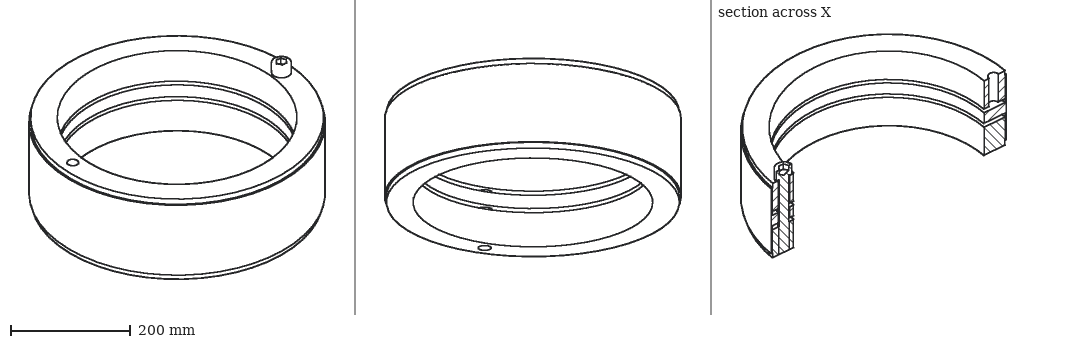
import cadquery as cq
import math

OUTER_DIAMETER = 495.0
END_RING_DIAMETER = 489.0
BORE_DIAMETER = 400.0
STACK_HEIGHT = 161.5
END_RING_PROTRUSION = 10.5
WEB_HEIGHT = 24.0
RING_GAP = 7.5
GAP_EDGE = WEB_HEIGHT / 2 + RING_GAP
END_RING_HEIGHT = STACK_HEIGHT / 2 - GAP_EDGE
SLEEVE_HEIGHT = STACK_HEIGHT - 2 * END_RING_PROTRUSION
MIDDLE_Z = STACK_HEIGHT / 2

HOLE_RADIUS = 220.5
THREAD_DIAMETER = 22.0
CLEARANCE_DIAMETER = 24.0
JACKING_DIAMETER = 19.5
HEAD_DIAMETER = 33.0
HEAD_HEIGHT = THREAD_DIAMETER
HEAD_FILLET = 2.0
SOCKET_ACROSS_FLATS = 17.0
SOCKET_DEPTH = 11.0
SOCKET_TIP_DEPTH = 5.0


def cylinder(diameter, bottom, height, y=0.0):
    """Vertical cylinder centred on the Y axis at the given position."""
    return cq.Workplane("XY", origin=(0, y, bottom)).circle(diameter / 2).extrude(height)


def tube(outer_diameter, inner_diameter, bottom, height):
    return cylinder(outer_diameter, bottom, height).cut(cylinder(inner_diameter, bottom, height))


def make_sleeve():
    """Thin outer sleeve with an inward web at mid-height."""
    shell = tube(OUTER_DIAMETER, END_RING_DIAMETER, END_RING_PROTRUSION, SLEEVE_HEIGHT)
    web_bottom = MIDDLE_Z - WEB_HEIGHT / 2
    web = tube(OUTER_DIAMETER, BORE_DIAMETER, web_bottom, WEB_HEIGHT)
    screw_hole = cylinder(CLEARANCE_DIAMETER, web_bottom, WEB_HEIGHT, HOLE_RADIUS)
    return shell.union(web).cut(screw_hole)


def make_end_ring(bottom, screw_hole_diameter):
    ring = tube(END_RING_DIAMETER, BORE_DIAMETER, bottom, END_RING_HEIGHT)
    return ring.cut(cylinder(screw_hole_diameter, bottom, END_RING_HEIGHT, HOLE_RADIUS))


def make_screw():
    """Socket head screw: its head rests on the upper ring, its tip ends in the lower ring."""
    head = cylinder(HEAD_DIAMETER, STACK_HEIGHT, HEAD_HEIGHT, HOLE_RADIUS)
    head = head.faces(">Z").edges().fillet(HEAD_FILLET)
    shank = cylinder(THREAD_DIAMETER, 0, STACK_HEIGHT, HOLE_RADIUS)

    socket_floor = STACK_HEIGHT + HEAD_HEIGHT - SOCKET_DEPTH
    across_corners = SOCKET_ACROSS_FLATS / math.cos(math.pi / 6)
    socket = (
        cq.Workplane("XY", origin=(0, HOLE_RADIUS, socket_floor))
        .transformed(rotate=(0, 0, 30))
        .polygon(6, across_corners)
        .extrude(SOCKET_DEPTH)
    )
    floor_cone = cq.Solid.makeCone(
        SOCKET_ACROSS_FLATS / 2,
        0,
        SOCKET_TIP_DEPTH,
        pnt=cq.Vector(0, HOLE_RADIUS, socket_floor),
        dir=cq.Vector(0, 0, -1),
    )
    return head.union(shank).cut(socket).cut(cq.Workplane(floor_cone))


sleeve = make_sleeve()
lower_ring = make_end_ring(0, THREAD_DIAMETER)

upper_bottom = STACK_HEIGHT - END_RING_HEIGHT
upper_ring = make_end_ring(upper_bottom, CLEARANCE_DIAMETER)
upper_ring = upper_ring.cut(cylinder(JACKING_DIAMETER, upper_bottom, END_RING_HEIGHT, -HOLE_RADIUS))

screw = make_screw()

result = cq.Compound.makeCompound([sleeve.val(), lower_ring.val(), upper_ring.val(), screw.val()])